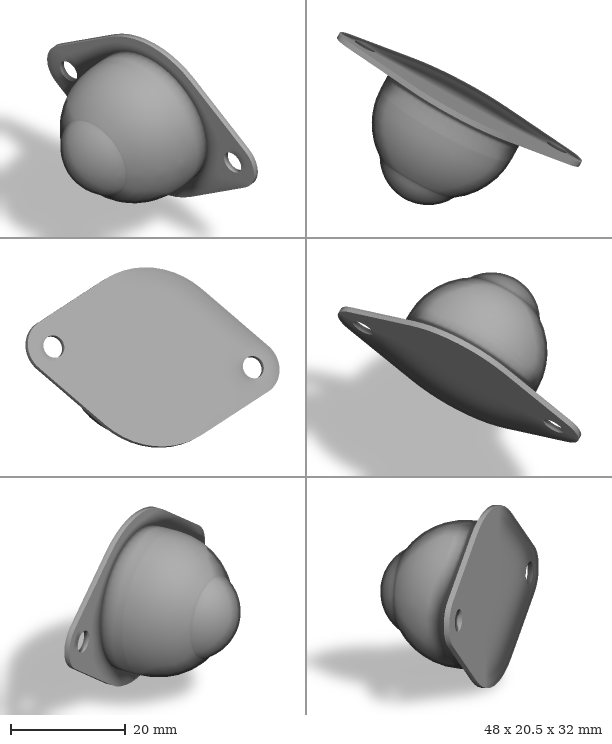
import cadquery as cq
import math

length = 47.95
height = 32.0
depth = 20.5

flange_thickness = 1.0
end_radius = 5.0
hole_diameter = 4.0
center_radius = height / 2
hole_offset = length / 2 - end_radius

housing_radius = 13.0
dome_start = 5.35

cap_rim_radius = 7.5


def flange():
    """Diamond-shaped plate with its back face at Y = 0."""
    sine = (center_radius - end_radius) / hole_offset
    cosine = math.sqrt(1 - sine**2)
    center_x, center_z = center_radius * sine, center_radius * cosine
    end_x, end_z = hole_offset + end_radius * sine, end_radius * cosine
    plate = (
        cq.Workplane("XZ")
        .moveTo(-center_x, center_z)
        .threePointArc((0, center_radius), (center_x, center_z))
        .lineTo(end_x, end_z)
        .threePointArc((length / 2, 0), (end_x, -end_z))
        .lineTo(center_x, -center_z)
        .threePointArc((0, -center_radius), (-center_x, -center_z))
        .lineTo(-end_x, -end_z)
        .threePointArc((-length / 2, 0), (-end_x, end_z))
        .close()
        .extrude(flange_thickness)
    )
    holes = (
        cq.Workplane("XZ")
        .pushPoints([(-hole_offset, 0), (hole_offset, 0)])
        .circle(hole_diameter / 2)
        .extrude(flange_thickness)
    )
    return plate.cut(holes)


def housing_and_ball():
    """Solid of revolution about Y, with its tip toward -Y."""
    rim_y = dome_start + math.sqrt(housing_radius**2 - cap_rim_radius**2)
    cap_height = depth - rim_y
    ball_radius = (cap_rim_radius**2 + cap_height**2) / (2 * cap_height)
    ball_center = depth - ball_radius

    dome_angle = (math.pi / 2 + math.asin(cap_rim_radius / housing_radius)) / 2
    dome_middle = (
        housing_radius * math.sin(dome_angle),
        -dome_start - housing_radius * math.cos(dome_angle),
    )
    cap_angle = math.asin(cap_rim_radius / ball_radius) / 2
    cap_middle = (
        ball_radius * math.sin(cap_angle),
        -ball_center - ball_radius * math.cos(cap_angle),
    )
    return (
        cq.Workplane("XY")
        .lineTo(housing_radius, 0)
        .lineTo(housing_radius, -dome_start)
        .threePointArc(dome_middle, (cap_rim_radius, -rim_y))
        .threePointArc(cap_middle, (0, -depth))
        .close()
        .revolve(360, (0, 0, 0), (0, 1, 0))
    )


result = flange().union(housing_and_ball())